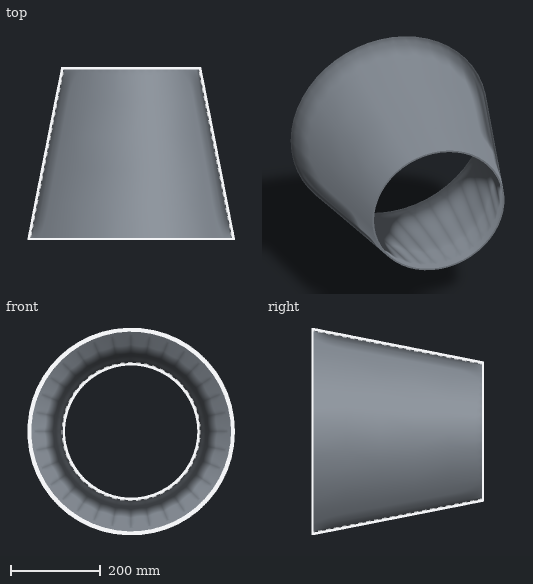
import cadquery as cq

large_diameter = 458.0
small_diameter = 308.0
length = 381.0
wall = 4.0


def cone_frustum(front_diameter, back_diameter):
    """Solid frustum along +Y, from its front face at Y = 0 to its back face."""
    profile = [
        (0, 0),
        (front_diameter / 2, 0),
        (back_diameter / 2, length),
        (0, length),
    ]
    return cq.Workplane("XY").polyline(profile).close().revolve(360, (0, 0, 0), (0, 1, 0))


outer_cone = cone_frustum(large_diameter, small_diameter)
inner_cone = cone_frustum(large_diameter - 2 * wall, small_diameter - 2 * wall)

result = outer_cone.cut(inner_cone)